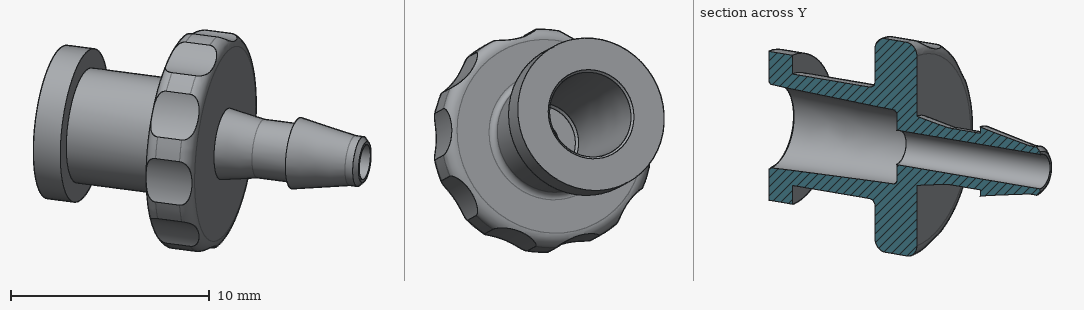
import cadquery as cq
import math

total_length = 16.28
flange_thickness = 1.43
grip_start = 6.35
grip_thickness = 2.54
grip_end = grip_start + grip_thickness
neck_start = 10.8
barb_start = 12.67
tip_start = 15.65

flange_diameter = 7.8
barrel_diameter = 5.85
barrel_fillet = 0.33
grip_diameter = 11.17
grip_fillet = 0.63
barb_diameter = 3.63
neck_diameter = 2.98
tip_diameter = 2.54
tip_chamfer = 0.23

scallop_count = 10
scallop_radius = 3.01
scallop_floor = 5.21

bore_diameter = 1.77
socket_mouth_diameter = 4.33
socket_end_diameter = 3.85
socket_depth = 7.65
mouth_chamfer = 0.11
socket_end_chamfer = 0.13


def cylinder(start, end, diameter):
    return cq.Workplane("YZ", origin=(start, 0, 0)).circle(diameter / 2).extrude(end - start)


def make_grip():
    """Rounded disc with evenly spaced scallops; one scallop faces +Y."""
    grip = cylinder(grip_start, grip_end, grip_diameter).edges().fillet(grip_fillet)
    cutters = (
        cq.Workplane("YZ", origin=(grip_start, 0, 0))
        .polarArray(scallop_floor + scallop_radius, 0, 360, scallop_count)
        .circle(scallop_radius)
        .extrude(grip_thickness)
    )
    return grip.cut(cutters)


def make_barrel():
    """Mouth flange and barrel, flaring into the grip through a concave fillet."""
    barrel_radius = barrel_diameter / 2
    fillet_start = grip_start - barrel_fillet
    arc_offset = barrel_fillet * math.sqrt(0.5)
    arc_middle = (
        fillet_start + arc_offset,
        barrel_radius + barrel_fillet - arc_offset,
    )
    barrel = (
        cq.Workplane("XY")
        .lineTo(0, flange_diameter / 2)
        .lineTo(flange_thickness, flange_diameter / 2)
        .lineTo(flange_thickness, barrel_radius)
        .lineTo(fillet_start, barrel_radius)
        .threePointArc(arc_middle, (grip_start, barrel_radius + barrel_fillet))
        .lineTo(grip_end, barrel_radius + barrel_fillet)
        .lineTo(grip_end, 0)
        .close()
    )
    return barrel.revolve(360, (0, 0, 0), (1, 0, 0))


def make_stem():
    """Hose stem: conical root, straight neck, then the tapered barb."""
    neck_radius = neck_diameter / 2
    stem = (
        cq.Workplane("XY")
        .moveTo(grip_end, 0)
        .lineTo(grip_end, barb_diameter / 2)
        .lineTo(neck_start, neck_radius)
        .lineTo(barb_start, neck_radius)
        .lineTo(barb_start, barb_diameter / 2)
        .lineTo(tip_start, tip_diameter / 2)
        .lineTo(total_length - tip_chamfer, tip_diameter / 2)
        .lineTo(total_length, tip_diameter / 2 - tip_chamfer)
        .lineTo(total_length, 0)
        .close()
    )
    return stem.revolve(360, (0, 0, 0), (1, 0, 0))


def make_socket():
    """Tapered socket with chamfered mouth and floor edge."""
    mouth_radius = socket_mouth_diameter / 2
    end_radius = socket_end_diameter / 2
    socket = (
        cq.Workplane("XY")
        .lineTo(0, mouth_radius + mouth_chamfer)
        .lineTo(mouth_chamfer, mouth_radius)
        .lineTo(socket_depth - socket_end_chamfer, end_radius)
        .lineTo(socket_depth, end_radius - socket_end_chamfer)
        .lineTo(socket_depth, 0)
        .close()
    )
    return socket.revolve(360, (0, 0, 0), (1, 0, 0))


outside = make_barrel().union(make_grip()).union(make_stem())
bore = cylinder(0, total_length, bore_diameter)
result = outside.cut(make_socket()).cut(bore)